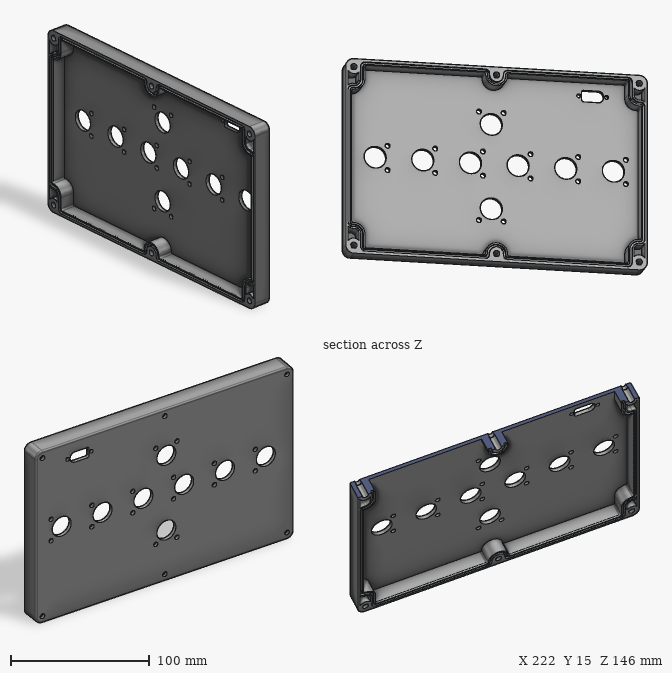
import cadquery as cq
import math

length = 222.0
height = 146.0
depth = 15.0
corner_radius = 6.0
back_fillet = 1.3
floor_thickness = 3.0
wall_draft = 0.6

side_rim = 1.8
end_rim = 2.0
groove_width = 1.8
groove_depth = 2.0
groove_fillet = 3.3
lip_width = 0.9

screw_x = 105.0
screw_z = 67.0
screw_diameter = 4.5
screw_tip_diameter = 3.8
corner_post_drop = 8.9
groove_post_radius = 5.0
post_radius = 8.2
post_fillet = 1.0

pocket_wall = 1.3
screw_column_radius = 5.3

device_diameter = 16.2
device_pitch = 35.0
device_count = 6
row_centre_x = 0.9
row_z = 3.5
extra_device_x = -1.3
upper_device_z = 33.3
lower_device_z = -30.0
fixing_diameter = 3.5
fixing_offset = 9.0

connector_x = 73.3
connector_z = 58.5
connector_width = 16.2
connector_height = 8.7
connector_left_radius = 1.3
connector_right_radius = 4.2
connector_hole_diameter = 2.9
connector_hole_offset = 10.2

cavity_depth = depth - floor_thickness
corner_screws = [(x, z) for x in (-screw_x, screw_x) for z in (-screw_z, screw_z)]
middle_screws = [(0, -screw_z), (0, screw_z)]


def plane_at(y):
    """Workplane facing -Y whose local axes are X and Z."""
    return cq.Workplane("XZ", origin=(0, y, 0))


def block(x_size, z_size, y_depth, x=0, z=0):
    """Box between the rim plane and y_depth."""
    return plane_at(y_depth).center(x, z).rect(x_size, z_size).extrude(y_depth)


def cylinders(points, diameter, y_depth):
    """Cylinders between the rim plane and y_depth."""
    return plane_at(y_depth).pushPoints(points).circle(diameter / 2).extrude(y_depth)


def posts(radius, y_depth):
    """Post envelopes; the corner ones reach outwards past the walls."""
    solid = cylinders(middle_screws, 2 * radius, y_depth)
    for x, z in corner_screws:
        outward_x = math.copysign(radius, x)
        end_z = z - math.copysign(corner_post_drop, z)
        top_z = z + math.copysign(radius, z)
        flank = block(2 * radius, abs(top_z - end_z), y_depth, x, (top_z + end_z) / 2)
        end = cylinders([(x, end_z)], 2 * radius, y_depth)
        outside = block(radius, abs(top_z - end_z) + radius, y_depth, x + 1.5 * outward_x, (top_z + end_z) / 2)
        solid = solid.union(flank).union(end).union(outside)
    return solid


def opening(inset, radius, fillet, y_depth):
    """Space left inside the rim by the walls and the posts, with rounded inner corners."""
    space = block(length - 2 * (side_rim + inset), height - 2 * (end_rim + inset), y_depth)
    space = space.cut(posts(radius, y_depth))
    for wall in (">X", "<X", ">Z", "<Z"):
        space = space.faces(wall).edges("|Y").fillet(fillet)
    return space


def shell():
    back_inset = depth * math.tan(math.radians(wall_draft))
    back_outline = (
        cq.Sketch()
        .rect(length - 2 * back_inset, height - 2 * back_inset)
        .vertices()
        .fillet(corner_radius - back_inset)
    )
    return (
        plane_at(depth)
        .placeSketch(back_outline)
        .extrude(depth, taper=-wall_draft)
        .faces(">Y")
        .edges()
        .fillet(back_fillet)
    )


def cavity():
    floor = opening(groove_width + lip_width, post_radius, post_fillet, cavity_depth)
    return floor.faces(">Y").wires().toPending().extrude(cavity_depth, taper=-wall_draft)


def seal_groove():
    outer = opening(0, groove_post_radius, groove_fillet, groove_depth)
    inner_radius = groove_post_radius + groove_width
    inner_fillet = groove_fillet - groove_width
    return outer.cut(opening(groove_width, inner_radius, inner_fillet, groove_depth))


def corner_pockets():
    """Hollow between each corner screw and the rounded end of its post."""
    groove_edge = opening(0, groove_post_radius, groove_fillet, cavity_depth).faces(">Y").wires()
    inside = groove_edge.toPending().offset2D(pocket_wall).extrude(cavity_depth)
    between_posts = block(2 * (screw_x - post_radius), height, cavity_depth)
    columns = cylinders(corner_screws, 2 * screw_column_radius, cavity_depth)
    pockets = block(length - 2 * side_rim, 2 * screw_z, cavity_depth)
    return pockets.cut(inside).cut(between_posts).cut(columns)


def screw_holes():
    screws = corner_screws + middle_screws
    wide = cylinders(screws, screw_diameter, cavity_depth)
    return wide.union(cylinders(screws, screw_tip_diameter, depth))


def device_openings():
    first_x = row_centre_x - device_pitch * (device_count - 1) / 2
    devices = []
    fixings = []
    for i in range(device_count):
        x = first_x + i * device_pitch
        devices.append((x, row_z))
        fixings += [(x + fixing_offset, row_z + side * fixing_offset) for side in (-1, 1)]
    for z in (upper_device_z, lower_device_z):
        devices.append((extra_device_x, z))
        fixing_z = z + math.copysign(fixing_offset, z)
        fixings += [(extra_device_x + side * fixing_offset, fixing_z) for side in (-1, 1)]
    return cylinders(devices, device_diameter, depth).union(cylinders(fixings, fixing_diameter, depth))


def connector_cutout():
    cutout = block(connector_width, connector_height, depth, connector_x, connector_z)
    cutout = cutout.faces("<X").edges("|Y").fillet(connector_left_radius)
    cutout = cutout.faces(">X").edges("|Y").fillet(connector_right_radius)
    ends = [(connector_x + side * connector_hole_offset, connector_z) for side in (-1, 1)]
    return cutout.union(cylinders(ends, connector_hole_diameter, depth))


result = (
    shell()
    .cut(cavity())
    .cut(seal_groove())
    .cut(corner_pockets())
    .cut(screw_holes())
    .cut(device_openings())
    .cut(connector_cutout())
)